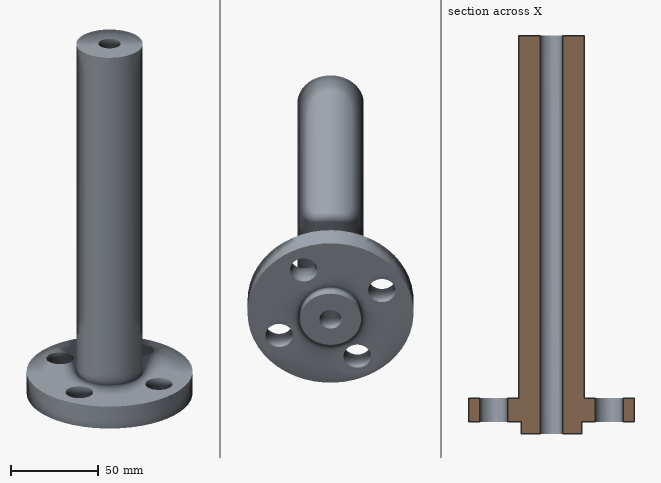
import cadquery as cq

total_height = 228.5

flange_diameter = 95.3
flange_thickness = 14.0
raised_face_diameter = 35.0
raised_face_height = 6.6

stem_diameter = 38.2
bore_diameter = 12.8

bolt_count = 4
bolt_hole_diameter = 15.8
bolt_circle_diameter = 66.5

flange_top = raised_face_height + flange_thickness


def cylinder(diameter, bottom, top):
    """Upright cylinder on the Z axis between two heights."""
    return cq.Workplane("XY").workplane(offset=bottom).circle(diameter / 2).extrude(top - bottom)


raised_face = cylinder(raised_face_diameter, 0, raised_face_height)
flange = cylinder(flange_diameter, raised_face_height, flange_top)
stem = cylinder(stem_diameter, flange_top, total_height)
body = raised_face.union(flange).union(stem)

bore = cylinder(bore_diameter, 0, total_height)

bolt_holes = (
    cq.Workplane("XY")
    .workplane(offset=raised_face_height)
    .polarArray(bolt_circle_diameter / 2, 0, 360, bolt_count)
    .circle(bolt_hole_diameter / 2)
    .extrude(flange_thickness)
)

result = body.cut(bore).cut(bolt_holes)